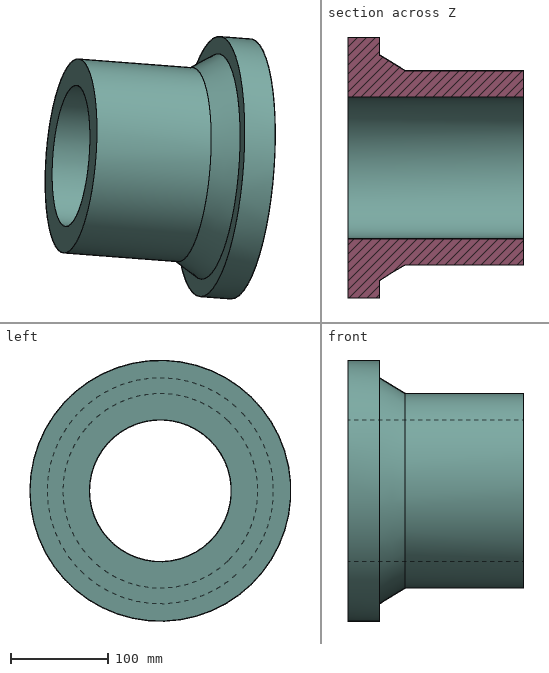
import cadquery as cq

total_length = 180.5
flange_diameter = 268.0
flange_thickness = 32.7
neck_base_diameter = 232.0
neck_length = 26.3
pipe_diameter = 200.0
bore_diameter = 145.3

neck_end = flange_thickness + neck_length

half_section = (
    cq.Workplane("XY")
    .moveTo(0, bore_diameter / 2)
    .lineTo(0, flange_diameter / 2)
    .lineTo(flange_thickness, flange_diameter / 2)
    .lineTo(flange_thickness, neck_base_diameter / 2)
    .lineTo(neck_end, pipe_diameter / 2)
    .lineTo(total_length, pipe_diameter / 2)
    .lineTo(total_length, bore_diameter / 2)
    .close()
)

result = half_section.revolve(360, (0, 0, 0), (1, 0, 0))